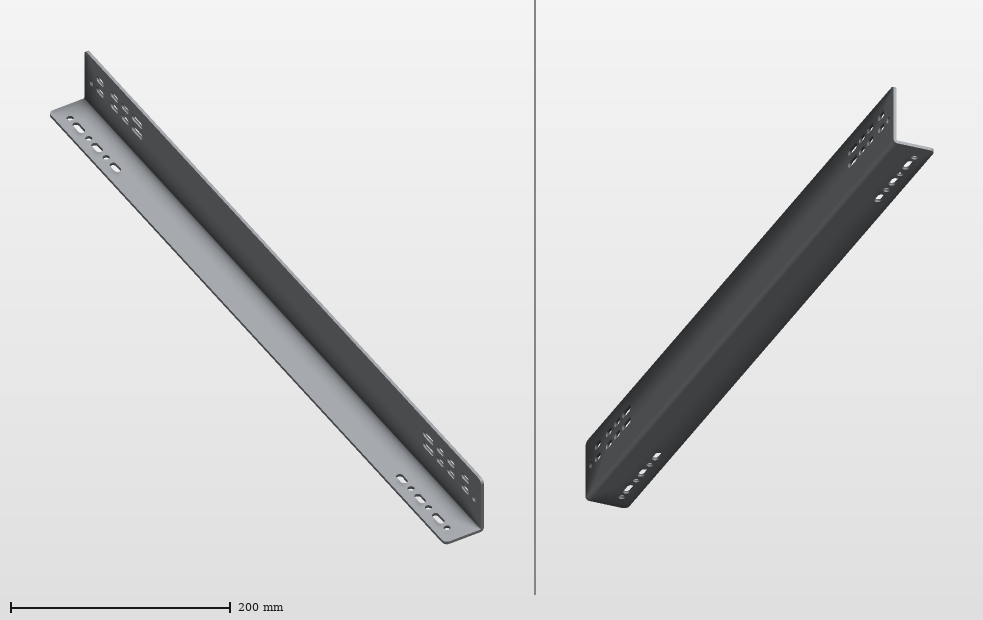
import cadquery as cq

length = 711.0
flange_depth = 41.0
web_height = 60.5
sheet = 3.0
inner_bend_radius = 1.0
outer_bend_radius = inner_bend_radius + sheet
corner_radius = 5.0

opening_width = 6.5

web_slots = [(327.0, 13.5), (301.5, 13.5), (282.0, 13.0), (261.0, 19.0)]
web_hole_offset = 343.0
web_lower_row = web_height / 2
web_row_pitch = 13.0

flange_slots = [(322.0, 16.0), (289.5, 14.0), (257.0, 14.0)]
flange_hole_offsets = [338.0, 304.0, 273.0]
flange_row = 13.0


def bent_sheet():
    """Upright web at the back joined by a rounded bend to a flat flange at the bottom."""
    web_front = flange_depth - sheet
    profile = cq.Workplane("YZ", origin=(-length / 2, 0, 0)).polyline([
        (0, 0),
        (flange_depth, 0),
        (flange_depth, web_height),
        (web_front, web_height),
        (web_front, sheet),
        (0, sheet),
    ])
    angle = profile.close().extrude(length)
    angle = angle.edges("|X and >Y and <Z").fillet(outer_bend_radius)
    inner_corner = cq.selectors.NearestToPointSelector((0, web_front, sheet))
    return angle.edges(inner_corner).fillet(inner_bend_radius)


def round_free_corners(body):
    """Round the two top corners of the web and the two front corners of the flange."""
    body = body.edges("|Y and >Z").fillet(corner_radius)
    return body.edges("|Z and <Y").fillet(corner_radius)


def both_ends(plane, offset, row):
    """Mark an opening's centre at each end of the rail, mirrored about its middle."""
    return plane.pushPoints([(-offset, row), (offset, row)])


def slot_pair(plane, offset, row, slot_length):
    sketch = both_ends(plane, offset, row).slot2D(slot_length, opening_width)
    return sketch.extrude(sheet, both=True)


def hole_pair(plane, offset, row):
    sketch = both_ends(plane, offset, row).circle(opening_width / 2)
    return sketch.extrude(sheet, both=True)


result = round_free_corners(bent_sheet())

web_back = cq.Workplane("XZ", origin=(0, flange_depth, 0))
for row in (web_lower_row, web_lower_row + web_row_pitch):
    for offset, slot_length in web_slots:
        result = result.cut(slot_pair(web_back, offset, row, slot_length))
result = result.cut(hole_pair(web_back, web_hole_offset, web_lower_row))

flange_bottom = cq.Workplane("XY")
for offset, slot_length in flange_slots:
    result = result.cut(slot_pair(flange_bottom, offset, flange_row, slot_length))
for offset in flange_hole_offsets:
    result = result.cut(hole_pair(flange_bottom, offset, flange_row))